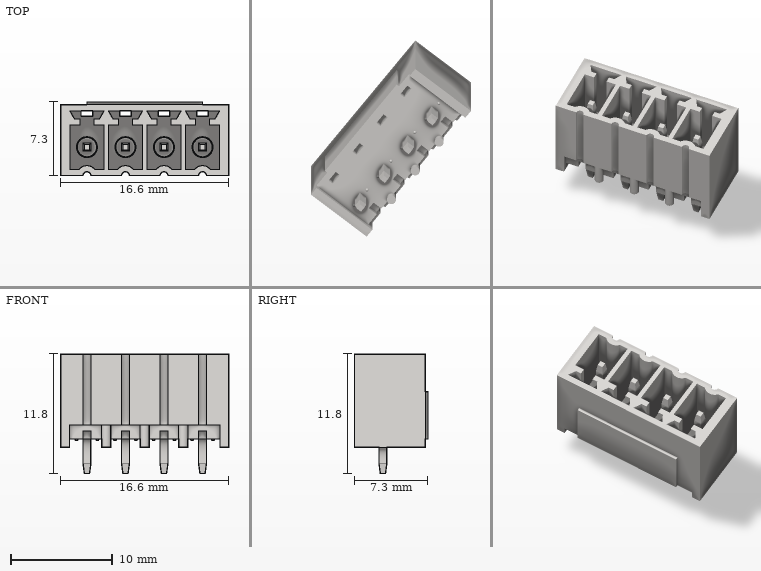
import cadquery as cq
import math


LENGTH = 16.63
DEPTH = 7.02
HEIGHT = 9.21
END_FOOT = 0.9

POSITIONS = 4
PITCH = 3.8
PIN_Y = 2.83
FIRST_X = -PITCH * (POSITIONS - 1) / 2
PIN_XS = [FIRST_X + i * PITCH for i in range(POSITIONS)]
POST_XS = [x + PITCH / 2 for x in PIN_XS[:-1]]

FLOOR_BOTTOM = 0.8
RECESS_TOP = 2.21
RECESS_DEPTH = 0.5
FLOOR_TOP = RECESS_TOP + 0.5

CHAMBER_WIDTH = 3.36
WALL = 0.62
RIB_FRONT_Y = 5.02
RIB_BACK_Y = 5.6
RIB_GAP = 1.35
KEY_WIDTH = 2.46
CHAMBER_BACK_Y = DEPTH - WALL

GROOVE_RADIUS = 0.38
GROOVE_WALL_RADIUS = 1.0

WINDOW_WIDTH = 1.13
WINDOW_DEPTH = 0.52

COLLAR_BASE_DIAMETER = 2.06
COLLAR_TOP_DIAMETER = 1.91
COLLAR_HEIGHT = 0.25

SLOT_WIDTH = 0.76
SLOT_TOP = 1.61
SLOT_DEPTH = 1.0
POST_DIAMETER = 0.9
NUB_DIAMETER = 0.3
NUB_OFFSET = 1.03

RAIL_LENGTH = PITCH * (POSITIONS - 1)
RAIL_THICKNESS = 0.28
RAIL_BOTTOM = FLOOR_BOTTOM
RAIL_TOP = 5.5

PIN_SIZE = 0.8
PIN_TIP_SIZE = 0.53
PIN_TAPER = 0.98
PIN_BOTTOM = -2.6
PIN_TOP = 8.0


def block(x_center, width, y_min, y_max, z_min, z_max):
    """Axis-aligned box that is centred in X."""
    return (
        cq.Workplane("XY")
        .box(width, y_max - y_min, z_max - z_min, centered=(True, False, False))
        .translate((x_center, y_min, z_min))
    )


def cylinder(x, y, diameter, z_min, z_max):
    """Upright cylinder."""
    return (
        cq.Workplane("XY", origin=(x, y, z_min))
        .circle(diameter / 2)
        .extrude(z_max - z_min)
    )


def chamber(x):
    """Space for the plug: a wide front part, a gap between two ribs and a dovetail at the rear."""
    half_width = CHAMBER_WIDTH / 2
    half_gap = RIB_GAP / 2
    half_key = KEY_WIDTH / 2
    half_chord = math.sqrt(GROOVE_WALL_RADIUS**2 - WALL**2)
    return (
        cq.Workplane("XY", origin=(x, 0, FLOOR_TOP))
        .moveTo(-half_width, WALL)
        .lineTo(-half_chord, WALL)
        .threePointArc((0, GROOVE_WALL_RADIUS), (half_chord, WALL))
        .lineTo(half_width, WALL)
        .lineTo(half_width, RIB_FRONT_Y)
        .lineTo(half_gap, RIB_FRONT_Y)
        .lineTo(half_gap, RIB_BACK_Y)
        .lineTo(half_key, RIB_BACK_Y)
        .lineTo(half_width, CHAMBER_BACK_Y)
        .lineTo(-half_width, CHAMBER_BACK_Y)
        .lineTo(-half_key, RIB_BACK_Y)
        .lineTo(-half_gap, RIB_BACK_Y)
        .lineTo(-half_gap, RIB_FRONT_Y)
        .lineTo(-half_width, RIB_FRONT_Y)
        .close()
        .extrude(HEIGHT - FLOOR_TOP)
    )


def collar(x):
    """Tapered round boss on the chamber floor."""
    return (
        cq.Workplane("XY", origin=(x, PIN_Y, FLOOR_TOP))
        .circle(COLLAR_BASE_DIAMETER / 2)
        .workplane(offset=COLLAR_HEIGHT)
        .circle(COLLAR_TOP_DIAMETER / 2)
        .loft(ruled=True)
    )


def nub(x):
    """Round stand-off nub, half sunk into the underside of the floor."""
    return cq.Workplane("XY", origin=(x, PIN_Y, FLOOR_BOTTOM)).sphere(NUB_DIAMETER / 2)


def make_housing():
    body = block(0, LENGTH, 0, DEPTH, 0, HEIGHT)

    inner_length = LENGTH - 2 * END_FOOT
    body = body.cut(block(0, inner_length, 0, DEPTH, 0, FLOOR_BOTTOM))
    body = body.cut(block(0, inner_length, 0, RECESS_DEPTH, 0, RECESS_TOP))

    body = body.union(block(0, RAIL_LENGTH, DEPTH, DEPTH + RAIL_THICKNESS, RAIL_BOTTOM, RAIL_TOP))

    for x in PIN_XS:
        body = body.cut(chamber(x))
        body = body.cut(cylinder(x, 0, 2 * GROOVE_RADIUS, RECESS_TOP, HEIGHT))
        window_front_y = CHAMBER_BACK_Y - WINDOW_DEPTH
        body = body.cut(block(x, WINDOW_WIDTH, window_front_y, CHAMBER_BACK_Y, FLOOR_BOTTOM, FLOOR_TOP))
        slot_back_y = RECESS_DEPTH + SLOT_DEPTH
        body = body.cut(block(x, SLOT_WIDTH, RECESS_DEPTH, slot_back_y, FLOOR_BOTTOM, SLOT_TOP))
        body = body.union(collar(x))
        for side in (-1, 1):
            body = body.union(nub(x + side * NUB_OFFSET))
        pin_front_y = PIN_Y - PIN_SIZE / 2
        pin_back_y = PIN_Y + PIN_SIZE / 2
        body = body.cut(block(x, PIN_SIZE, pin_front_y, pin_back_y, FLOOR_BOTTOM, FLOOR_TOP + COLLAR_HEIGHT))

    for x in POST_XS:
        body = body.union(cylinder(x, POST_DIAMETER / 2, POST_DIAMETER, 0, RECESS_TOP))
    return body


def pin_tip(x, z_base, taper):
    """Tapered pin end; a negative taper points down."""
    return (
        cq.Workplane("XY", origin=(x, PIN_Y, z_base))
        .rect(PIN_SIZE, PIN_SIZE)
        .workplane(offset=taper)
        .rect(PIN_TIP_SIZE, PIN_TIP_SIZE)
        .loft(ruled=True)
    )


def make_pin(x):
    """Square pin with a taper at both ends."""
    shank_bottom = PIN_BOTTOM + PIN_TAPER
    shank_top = PIN_TOP - PIN_TAPER
    shank = block(x, PIN_SIZE, PIN_Y - PIN_SIZE / 2, PIN_Y + PIN_SIZE / 2, shank_bottom, shank_top)
    return shank.union(pin_tip(x, shank_bottom, -PIN_TAPER)).union(pin_tip(x, shank_top, PIN_TAPER))


housing = make_housing()
pins = [make_pin(x) for x in PIN_XS]

result = cq.Compound.makeCompound([housing.val(), *[pin.val() for pin in pins]])